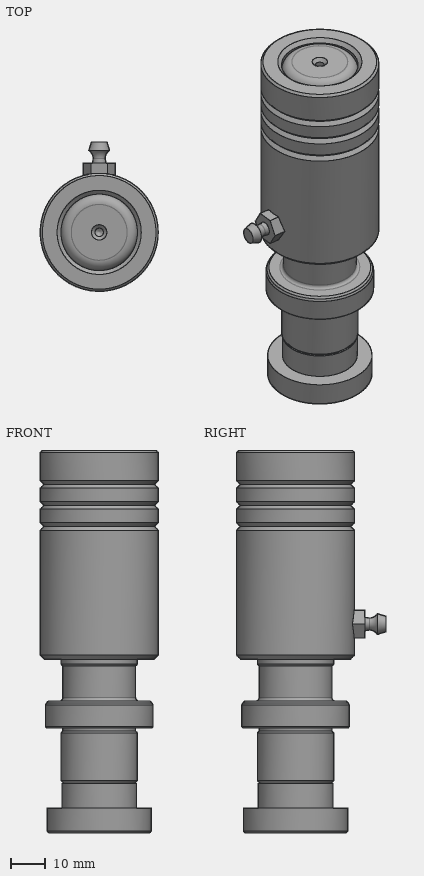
import cadquery as cq
import math

OVERALL_HEIGHT = 110.0
BUSHING_DIAMETER = 34.0
BUSHING_LENGTH = 60.1
BUSHING_TOP_CHAMFER = 0.7
BUSHING_BOTTOM_CHAMFER = 1.2
BORE_CHAMFER = 1.1
GROOVE_DEPTH = 1.1
FIRST_GROOVE_DROP = 9.8
GROOVE_PITCH = 6.0
GROOVE_COUNT = 3

PILLAR_RADIUS = 11.0
RELIEF_DIAMETER = 21.0
PILLAR_BOTTOM = 14.3
PILLAR_TOP_FILLET = 3.0
PILLAR_BOTTOM_CHAMFER = 0.8
RELIEF_TOP = 48.5
COLLAR_RADIUS = 15.5
COLLAR_BOTTOM = 30.1
COLLAR_TOP = 38.0
COLLAR_ROOT_FILLET = 1.0
COLLAR_TOP_CHAMFER = 0.5
COLLAR_TAPER_HEIGHT = 0.7
COLLAR_TAPER_INSET = 0.3
COLLAR_BOTTOM_CHAMFER = 0.4
LOWER_RELIEF_HEIGHT = 0.9

CENTRE_HOLE_RADIUS = 1.2
COUNTERSINK_RADIUS = 2.2
CENTRE_HOLE_DEPTH = 3.3
DRILL_POINT_ANGLE = 118.0

CAP_NECK_RADIUS = 10.8
CAP_FLANGE_DIAMETER = 30.0
CAP_FLANGE_HEIGHT = 7.2
CAP_CHAMFER = 0.5

FITTING_HEIGHT = 60.1
FITTING_TIP_OFFSET = 9.0
HEX_ACROSS_FLATS = 8.0
HEX_OUTER_Y = 19.9
WAIST_Y = 21.2
WAIST_RADIUS = 1.8
NECK_BASE_RADIUS = 2.0
HEAD_WIDEST_Y = 23.5
HEAD_DIAMETER = 6.0
TIP_DIAMETER = 4.5

BUSHING_RADIUS = BUSHING_DIAMETER / 2
BUSHING_BOTTOM = OVERALL_HEIGHT - BUSHING_LENGTH


def make_bushing():
    """Sleeve with chamfered ends, V grooves near the top and a plain bore."""
    bushing = (
        cq.Workplane("XY")
        .workplane(offset=BUSHING_BOTTOM)
        .circle(BUSHING_RADIUS)
        .extrude(BUSHING_LENGTH)
    )
    bushing = bushing.faces(">Z").edges().chamfer(BUSHING_TOP_CHAMFER)
    bushing = bushing.faces("<Z").edges().chamfer(BUSHING_BOTTOM_CHAMFER)

    for index in range(GROOVE_COUNT):
        middle = OVERALL_HEIGHT - FIRST_GROOVE_DROP - index * GROOVE_PITCH
        bushing = bushing.cut(make_groove_cutter(middle))

    bore = (
        cq.Workplane("XZ")
        .moveTo(0, BUSHING_BOTTOM)
        .lineTo(PILLAR_RADIUS, BUSHING_BOTTOM)
        .lineTo(PILLAR_RADIUS, OVERALL_HEIGHT - BORE_CHAMFER)
        .lineTo(PILLAR_RADIUS + BORE_CHAMFER, OVERALL_HEIGHT)
        .lineTo(0, OVERALL_HEIGHT)
        .close()
        .revolve(360, (0, 0), (0, 1))
    )
    return bushing.cut(bore)


def make_groove_cutter(middle):
    """Ring with a 90 degree V section, centred at the given height."""
    return (
        cq.Workplane("XZ")
        .moveTo(BUSHING_RADIUS - GROOVE_DEPTH, middle)
        .lineTo(BUSHING_RADIUS + GROOVE_DEPTH, middle + 2 * GROOVE_DEPTH)
        .lineTo(BUSHING_RADIUS + GROOVE_DEPTH, middle - 2 * GROOVE_DEPTH)
        .close()
        .revolve(360, (0, 0), (0, 1))
    )


def make_pillar():
    """Shaft with a rounded top, a collar between two reliefs and a centre hole."""
    relief_radius = RELIEF_DIAMETER / 2
    relief_step = PILLAR_RADIUS - relief_radius
    lower_relief_bottom = COLLAR_BOTTOM - LOWER_RELIEF_HEIGHT
    taper_top = COLLAR_TOP - COLLAR_TOP_CHAMFER
    taper_radius = COLLAR_RADIUS - COLLAR_TAPER_INSET
    arc_offset = 1 - math.sqrt(0.5)
    root_offset = COLLAR_ROOT_FILLET * arc_offset
    top_offset = PILLAR_TOP_FILLET * arc_offset

    pillar = (
        cq.Workplane("XZ")
        .moveTo(0, PILLAR_BOTTOM)
        .lineTo(PILLAR_RADIUS - PILLAR_BOTTOM_CHAMFER, PILLAR_BOTTOM)
        .lineTo(PILLAR_RADIUS, PILLAR_BOTTOM + PILLAR_BOTTOM_CHAMFER)
        .lineTo(PILLAR_RADIUS, lower_relief_bottom - relief_step)
        .lineTo(relief_radius, lower_relief_bottom)
        .lineTo(relief_radius, COLLAR_BOTTOM)
        .lineTo(COLLAR_RADIUS - COLLAR_BOTTOM_CHAMFER, COLLAR_BOTTOM)
        .lineTo(COLLAR_RADIUS, COLLAR_BOTTOM + COLLAR_BOTTOM_CHAMFER)
        .lineTo(COLLAR_RADIUS, taper_top - COLLAR_TAPER_HEIGHT)
        .lineTo(taper_radius, taper_top)
        .lineTo(taper_radius - COLLAR_TOP_CHAMFER, COLLAR_TOP)
        .lineTo(relief_radius + COLLAR_ROOT_FILLET, COLLAR_TOP)
        .threePointArc(
            (relief_radius + root_offset, COLLAR_TOP + root_offset),
            (relief_radius, COLLAR_TOP + COLLAR_ROOT_FILLET),
        )
        .lineTo(relief_radius, RELIEF_TOP - relief_step)
        .lineTo(PILLAR_RADIUS, RELIEF_TOP)
        .lineTo(PILLAR_RADIUS, OVERALL_HEIGHT - PILLAR_TOP_FILLET)
        .threePointArc(
            (PILLAR_RADIUS - top_offset, OVERALL_HEIGHT - top_offset),
            (PILLAR_RADIUS - PILLAR_TOP_FILLET, OVERALL_HEIGHT),
        )
        .lineTo(0, OVERALL_HEIGHT)
        .close()
        .revolve(360, (0, 0), (0, 1))
    )
    return pillar.cut(make_centre_hole_cutter())


def make_centre_hole_cutter():
    """Countersunk blind hole with a conical drill point."""
    countersink_depth = COUNTERSINK_RADIUS - CENTRE_HOLE_RADIUS
    point_depth = CENTRE_HOLE_RADIUS / math.tan(math.radians(DRILL_POINT_ANGLE / 2))
    hole_bottom = OVERALL_HEIGHT - CENTRE_HOLE_DEPTH
    return (
        cq.Workplane("XZ")
        .moveTo(0, OVERALL_HEIGHT)
        .lineTo(COUNTERSINK_RADIUS, OVERALL_HEIGHT)
        .lineTo(CENTRE_HOLE_RADIUS, OVERALL_HEIGHT - countersink_depth)
        .lineTo(CENTRE_HOLE_RADIUS, hole_bottom)
        .lineTo(0, hole_bottom - point_depth)
        .close()
        .revolve(360, (0, 0), (0, 1))
    )


def make_cap():
    """Flange with a chamfered lower edge and a neck that meets the pillar."""
    flange = cq.Workplane("XY").circle(CAP_FLANGE_DIAMETER / 2).extrude(CAP_FLANGE_HEIGHT)
    flange = flange.faces("<Z").edges().chamfer(CAP_CHAMFER)
    neck_height = PILLAR_BOTTOM - CAP_FLANGE_HEIGHT
    return flange.faces(">Z").workplane().circle(CAP_NECK_RADIUS).extrude(neck_height)


def make_grease_fitting():
    """Hexagon seated on the bushing wall, with a waisted nipple pointing to +Y."""
    hex_across_corners = HEX_ACROSS_FLATS / math.cos(math.pi / 6)
    hexagon = (
        cq.Workplane("XZ")
        .center(0, FITTING_HEIGHT)
        .polygon(6, hex_across_corners)
        .extrude(-HEX_OUTER_Y)
    )
    bushing_envelope = cq.Workplane("XY").circle(BUSHING_RADIUS).extrude(OVERALL_HEIGHT)

    tip_y = BUSHING_RADIUS + FITTING_TIP_OFFSET
    head_radius = HEAD_DIAMETER / 2
    tip_radius = TIP_DIAMETER / 2

    neck_rise = head_radius - WAIST_RADIUS
    neck_length = HEAD_WIDEST_Y - WAIST_Y
    neck_arc_radius = (neck_rise**2 + neck_length**2) / (2 * neck_rise)
    half_arc_angle = math.asin(neck_length / neck_arc_radius) / 2
    neck_arc_middle = (
        WAIST_RADIUS + neck_arc_radius * (1 - math.cos(half_arc_angle)),
        WAIST_Y + neck_arc_radius * math.sin(half_arc_angle),
    )
    nipple = (
        cq.Workplane("XY")
        .moveTo(0, HEX_OUTER_Y)
        .lineTo(NECK_BASE_RADIUS, HEX_OUTER_Y)
        .lineTo(WAIST_RADIUS, WAIST_Y)
        .threePointArc(neck_arc_middle, (head_radius, HEAD_WIDEST_Y))
        .lineTo(tip_radius, tip_y)
        .lineTo(0, tip_y)
        .close()
        .revolve(360, (0, 0), (0, 1))
        .translate((0, 0, FITTING_HEIGHT))
    )
    return hexagon.cut(bushing_envelope).union(nipple)


bushing = make_bushing()
pillar = make_pillar()
cap = make_cap()
grease_fitting = make_grease_fitting()

result = cq.Compound.makeCompound([bushing.val(), pillar.val(), cap.val(), grease_fitting.val()])